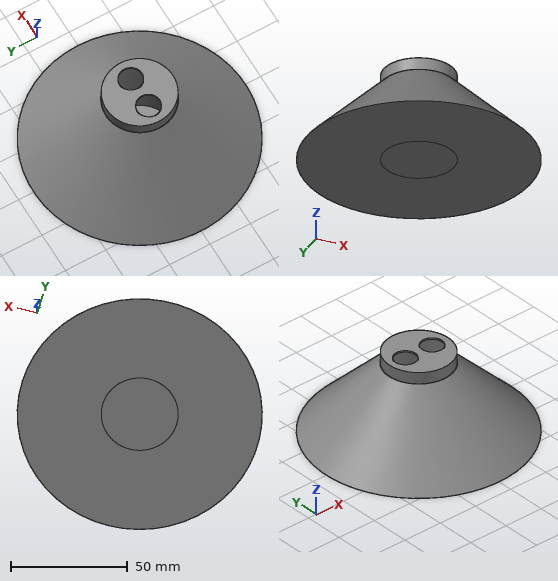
import cadquery as cq

base_diameter = 105.0
rim_diameter = 33.4
base_height = 35.1

canister_diameter = 33.0
cavity_diameter = 31.4
overall_height = 40.8
wall = (canister_diameter - cavity_diameter) / 2

opening_diameter = 11.0
opening_spacing = 15.1


def make_base():
    """Solid cone frustum, bored through to take the canister."""
    profile = [
        (canister_diameter / 2, 0),
        (base_diameter / 2, 0),
        (rim_diameter / 2, base_height),
        (canister_diameter / 2, base_height),
    ]
    return cq.Workplane("XZ").polyline(profile).close().revolve(360, (0, 0), (0, 1))


def make_canister():
    """Thin-walled cylinder with a floor and a lid that has two round openings."""
    shell = cq.Workplane("XY").circle(canister_diameter / 2).extrude(overall_height)
    cavity = (
        cq.Workplane("XY", origin=(0, 0, wall))
        .circle(cavity_diameter / 2)
        .extrude(overall_height - 2 * wall)
    )
    openings = (
        cq.Workplane("XY", origin=(0, 0, overall_height - wall))
        .rarray(opening_spacing, 1, 2, 1)
        .circle(opening_diameter / 2)
        .extrude(wall)
    )
    return shell.cut(cavity).cut(openings)


base = make_base()
canister = make_canister()

result = cq.Compound.makeCompound([base.val(), canister.val()])